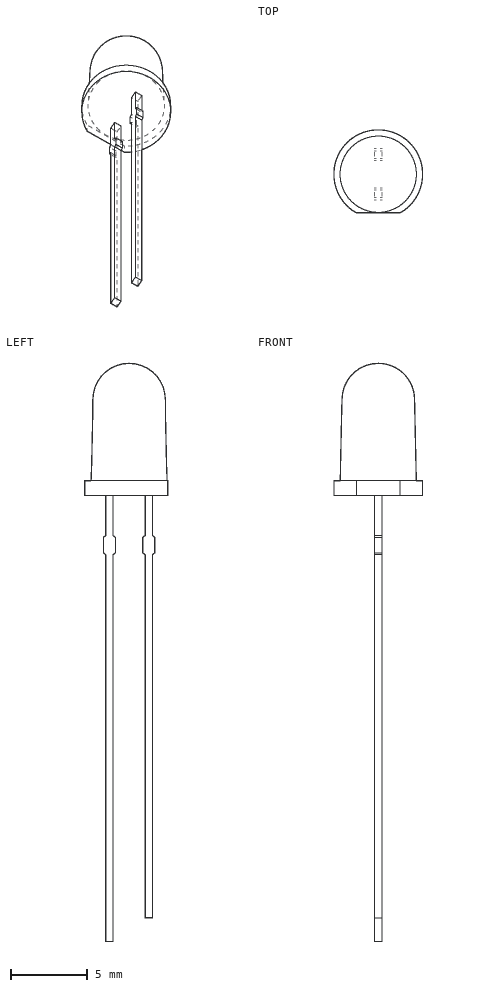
import cadquery as cq

total_height = 37.6
body_height = 8.6

flange_radius = 2.9
flange_thickness = 0.98
flat_distance = 2.52

lens_base_radius = 2.5
dome_radius = 2.35

lead_width = 0.5
lead_pitch = 2.55
long_lead_length = total_height - body_height
short_lead_length = long_lead_length - 1.55
collar_width = 0.8
collar_top_depth = 2.6
collar_bottom_depth = 3.85
collar_taper = 0.1


def make_flange():
    disc = cq.Workplane("XY").circle(flange_radius).extrude(flange_thickness)
    keep_depth = flange_radius + flat_distance
    keep = (
        cq.Workplane("XY")
        .center(0, keep_depth / 2 - flat_distance)
        .rect(2 * flange_radius, keep_depth)
        .extrude(flange_thickness)
    )
    return disc.intersect(keep)


def make_lens():
    dome_start = body_height - dome_radius
    dome_middle = dome_radius * 0.5 ** 0.5
    return (
        cq.Workplane("XZ")
        .moveTo(0, flange_thickness)
        .lineTo(lens_base_radius, flange_thickness)
        .lineTo(dome_radius, dome_start)
        .threePointArc((dome_middle, dome_start + dome_middle), (0, body_height))
        .close()
        .revolve(360, (0, 0, 0), (0, 1, 0))
    )


def make_lead(y_center, length):
    """Square lead below the flange; its collar widens along Y only."""
    half_lead = lead_width / 2
    half_collar = collar_width / 2
    right_side = [
        (half_lead, 0),
        (half_lead, -collar_top_depth),
        (half_collar, -collar_top_depth - collar_taper),
        (half_collar, -collar_bottom_depth + collar_taper),
        (half_lead, -collar_bottom_depth),
        (half_lead, -length),
    ]
    left_side = [(-y, z) for y, z in reversed(right_side)]
    return (
        cq.Workplane("YZ")
        .polyline(right_side + left_side)
        .close()
        .extrude(half_lead, both=True)
        .translate((0, y_center, 0))
    )


result = (
    make_flange()
    .union(make_lens())
    .union(make_lead(lead_pitch / 2, long_lead_length))
    .union(make_lead(-lead_pitch / 2, short_lead_length))
)